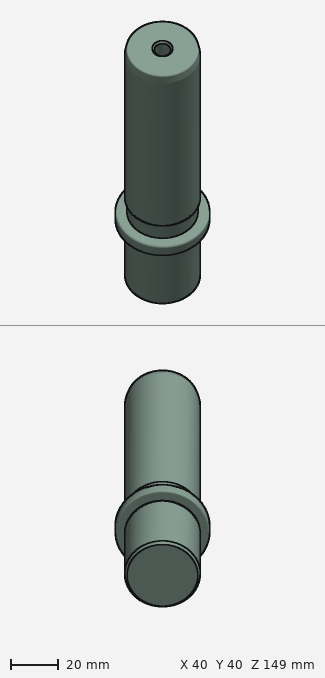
import cadquery as cq

length = 149.0
shaft_radius = 16.0
flange_radius = 20.0
neck_radius = 15.0

flange_bottom = 37.0
flange_top = 42.9
shoulder_height = 52.0

bottom_chamfer_height = 1.3
bottom_chamfer_width = 1.0
flange_fillet = 0.9
shoulder_chamfer = shaft_radius - neck_radius
relief_radius = 15.3
relief_chamfer = shaft_radius - relief_radius
relief_height = 0.6
lead_height = 3.9
lead_radius = 15.3
tip_round_height = 0.6
tip_radius = 14.6

hole_radius = 3.5
hole_mouth_radius = 4.3
hole_depth = 17.9


def make_pin():
    """Revolve the stepped half profile about the Z axis."""
    lower_shaft_top = flange_bottom - relief_height
    lead_start = length - lead_height
    half_profile = (
        cq.Workplane("XZ")
        .lineTo(shaft_radius - bottom_chamfer_width, 0)
        .lineTo(shaft_radius, bottom_chamfer_height)
        .lineTo(shaft_radius, lower_shaft_top - relief_chamfer)
        .lineTo(relief_radius, lower_shaft_top)
        .lineTo(relief_radius, flange_bottom)
        .lineTo(flange_radius - flange_fillet, flange_bottom)
        .tangentArcPoint((flange_fillet, flange_fillet))
        .lineTo(flange_radius, flange_top - flange_fillet)
        .tangentArcPoint((-flange_fillet, flange_fillet))
        .lineTo(neck_radius, flange_top)
        .lineTo(neck_radius, shoulder_height - shoulder_chamfer)
        .lineTo(shaft_radius, shoulder_height)
        .lineTo(shaft_radius, lead_start)
        .lineTo(lead_radius, length - tip_round_height)
        .tangentArcPoint((tip_radius, length), relative=False)
        .lineTo(0, length)
        .close()
    )
    return half_profile.revolve(360, (0, 0), (0, 1))


def make_centre_hole():
    """Blind hole with a 45 degree countersunk mouth."""
    mouth_depth = hole_mouth_radius - hole_radius
    profile = [
        (0, length - hole_depth),
        (hole_radius, length - hole_depth),
        (hole_radius, length - mouth_depth),
        (hole_mouth_radius, length),
        (0, length),
    ]
    return cq.Workplane("XZ").polyline(profile).close().revolve(360, (0, 0), (0, 1))


result = make_pin().cut(make_centre_hole())